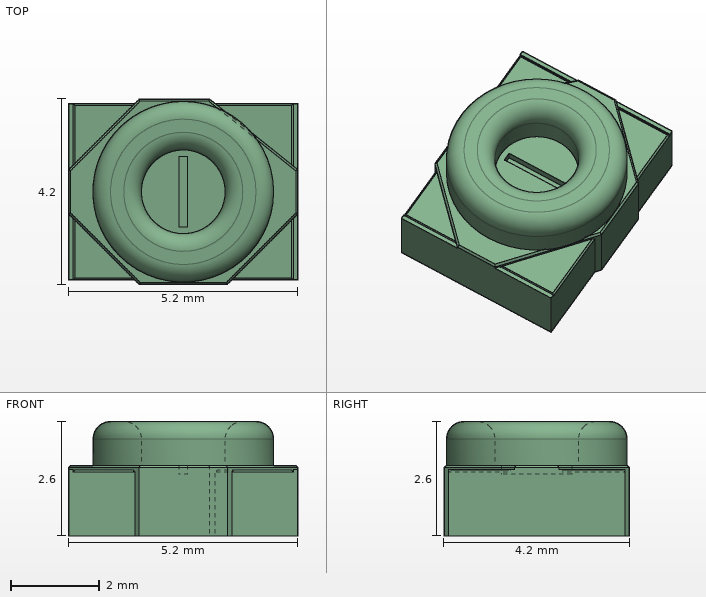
import cadquery as cq

length = 5.2
width = 4.2
housing_height = 1.6
side_face_half = 0.5
corner_run = width / 2 - side_face_half
long_cut_extra = 0.4
long_corner_run = corner_run + long_cut_extra
housing_chamfer = 0.045

plate_thickness = 0.1
plate_height = 1.51
core_length = length - 2 * plate_thickness
core_width = 4.0
core_height = 1.5
core_chamfer = 0.04

total_height = 2.6
ring_diameter = 4.1
bore_diameter = 1.9
ring_rounding = 0.4

slot_width = 0.205
slot_length = 1.6
slot_depth = 0.2


def block(size_x, size_y, height):
    """Box centred on the Z axis and standing on the base plane."""
    return cq.Workplane("XY").box(size_x, size_y, height, centered=(True, True, False))


def make_housing():
    half_x = length / 2
    half_y = width / 2
    corners = [
        (-half_x, -side_face_half),
        (-half_x + corner_run, -half_y),
        (half_x - corner_run, -half_y),
        (half_x, -side_face_half),
        (half_x, side_face_half),
        (half_x - long_corner_run, half_y),
        (-half_x + corner_run, half_y),
        (-half_x, side_face_half),
    ]
    outline = cq.Workplane("XY").polyline(corners).close()
    return outline.extrude(housing_height).faces(">Z").chamfer(housing_chamfer)


def make_core():
    return block(core_length, core_width, core_height).faces(">Z").chamfer(core_chamfer)


def make_end_plate(side):
    centre_x = side * (length - plate_thickness) / 2
    return block(plate_thickness, core_width, plate_height).translate((centre_x, 0, 0))


def make_ring():
    ring = (
        cq.Workplane("XY")
        .workplane(offset=housing_height)
        .circle(ring_diameter / 2)
        .circle(bore_diameter / 2)
        .extrude(total_height - housing_height)
    )
    return ring.faces(">Z").edges().fillet(ring_rounding)


def make_slot():
    slot = block(slot_width, slot_length, slot_depth)
    return slot.translate((0, 0, housing_height - slot_depth))


body = make_housing().union(make_core())
for side in (-1, 1):
    body = body.union(make_end_plate(side))

result = body.union(make_ring()).cut(make_slot())